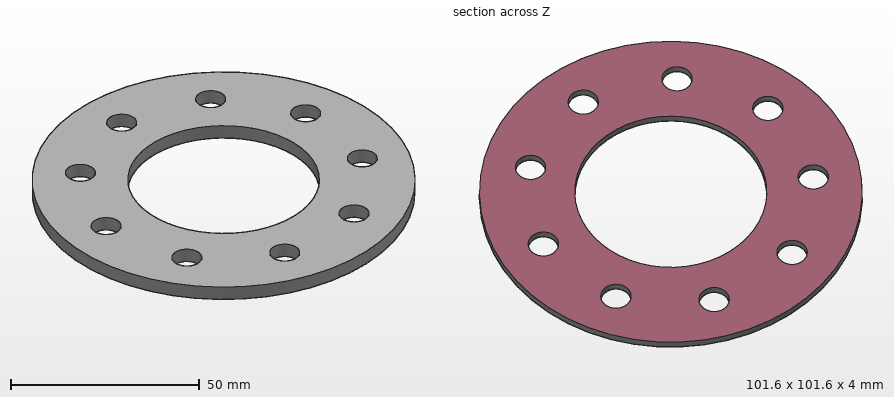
import cadquery as cq

outer_diameter = 101.6
bore_diameter = 50.8
thickness = 4.0
bolt_hole_diameter = 7.94
bolt_hole_count = 9
first_hole_angle = 90.0

bolt_circle_diameter = (outer_diameter + bore_diameter) / 2


def make_ring():
    """Flat ring lying on the XY plane, centred on the Z axis."""
    return (
        cq.Workplane("XY")
        .circle(outer_diameter / 2)
        .circle(bore_diameter / 2)
        .extrude(thickness)
    )


def drill_bolt_holes(ring):
    """Cut the evenly spaced through holes on the bolt circle."""
    return (
        ring.faces(">Z")
        .workplane(origin=(0, 0, thickness))
        .polarArray(bolt_circle_diameter / 2, first_hole_angle, 360, bolt_hole_count)
        .hole(bolt_hole_diameter)
    )


result = drill_bolt_holes(make_ring())